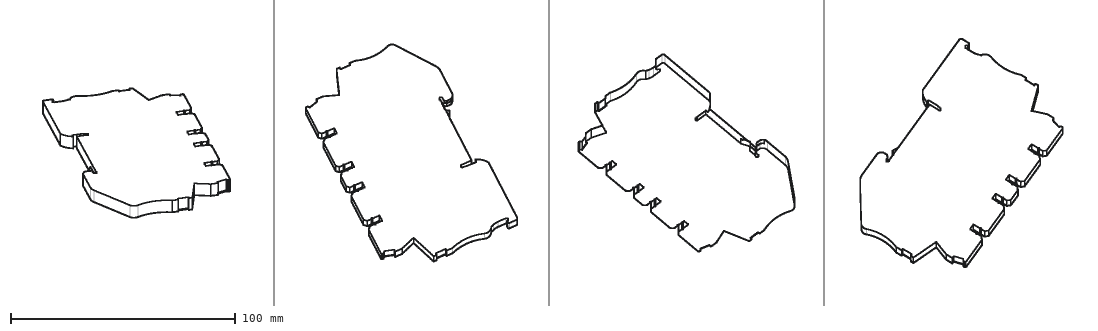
import cadquery as cq
import math


LENGTH = 100.78
HEIGHT = 62.26
THICKNESS = 6.15
BODY_WIDTH = 100.5
MID_X = BODY_WIDTH / 2

TOP_INSET = 11.2
LIP_INSET = 10.93
LIP_TOP_Y = 61.85
LIP_BOTTOM_Y = 61.05
NECK_INSET = 11.72
NECK_Y = 60.5
LEDGE_IN_INSET = 10.5
LEDGE_INSET = 9.41
LEDGE_Y = 56.2
LEDGE_BOTTOM_Y = 52.8
WAIST_INSET = 11.95
WAIST_Y = 45.9
SHOULDER_Y = 41.65
RECESS_DEPTH = 0.91
RECESS_TOP_Y = 40.1
RECESS_BOTTOM_Y = 35.3
GRIP_TOP_Y = 32.4
GRIP_MID_Y = 24.7
GRIP_BOTTOM_Y = 16.5
GRIP_DEPTH = 1.5

SLOT_OFFSETS = (5.5, 23.4)
SLOT_WIDTH = 2.75
SLOT_DEPTH = 7.3
SLOT_CHAMFER = 1.25
SLOT_GROOVE_RADIUS = 0.35
SLOT_GROOVE_Y = 58.6

RAIL_Y = 6.38
RAIL_LEFT_X = 34.6
SPRING_SLOT_TOP_Y = 11.9
SPRING_SLOT_TOP_X = 33.4
SPRING_SLOT_X = 33.05
SPRING_SLOT_BEND_Y = 9.5
SPRING_SLOT_CHAMFER = 0.3
HOOK_Y = 4.86
HOOK_TIP_X = 34.35
HOOK_MID = (32.95, 2.2)
HOOK_END_X = 30.4

FOOT_CORNER = 0.95
FOOT_TOP_ROUND = 0.55
FOOT_TOP_Y = HOOK_Y
FOOT_NOTCH_LEFT_X = 1.3
FOOT_NOTCH_RIGHT_X = 2.77
FOOT_NOTCH_BOTTOM_Y = 4.0
FOOT_WALL_TOP_Y = 8.6
FOOT_WALL_MID = (2.62, 9.9)
FOOT_WALL_END = (2.3, 11.1)
FOOT_WALL_ROUND_MID = (2.0, 11.8)
LEFT_TIP_END_Y = 12.3
LEFT_TIP_RADIUS = 3.5

RIGHT_FOOT_Y = 0.27
RIGHT_FOOT_X = 65.27
RIGHT_FOOT_START_X = 68.1
RIGHT_FOOT_LOWER_Y = 2.3
RIGHT_FOOT_LOWER_MID = (66.05, 0.95)
RIGHT_FOOT_UPPER_Y = 4.1
RIGHT_FOOT_UPPER_MID = (65.75, 4.75)
SLANT_ANGLE = math.radians(35.1)
TIP_RADIUS = 2.8
TIP_Y = 15.4
HEEL_RADIUS = 5.0

RELIEF_CENTER_X = 67.45
RELIEF_CENTER_Y = 5.87
RELIEF_RADIUS = 0.72

LATCH_HEIGHT = 3.5
LATCH_LEFT_X = 57.5
LATCH_TIP = (61.4, 4.5)
LATCH_TIP_RIGHT = (61.75, 4.6)
LATCH_BACK_MID = (62.5, 5.75)
LATCH_END_X = 63.5
LATCH_LEDGE = 0.12
LATCH_OVERLAP = 1.0

NOSE_STEP = 0.12
NOSE_STEP_END_X = 66.6

SILL_HEIGHT = 0.5
SILL_DEPTH = 0.1


def crown_side():
    """Left side from the grip upwards to the top, as straight corners."""
    return [
        (0, RECESS_BOTTOM_Y),
        (RECESS_DEPTH, RECESS_BOTTOM_Y),
        (RECESS_DEPTH, RECESS_TOP_Y),
        (0, RECESS_TOP_Y),
        (0, SHOULDER_Y),
        (WAIST_INSET, WAIST_Y),
        (LEDGE_INSET, LEDGE_BOTTOM_Y),
        (LEDGE_INSET, LEDGE_Y),
        (LEDGE_IN_INSET, LEDGE_Y),
        (NECK_INSET, NECK_Y),
        (LIP_INSET, LIP_BOTTOM_Y),
        (LIP_INSET, LIP_TOP_Y),
        (TOP_INSET, HEIGHT),
    ]


def on_circle(center, radius, angle):
    return (center[0] + radius * math.cos(angle), center[1] + radius * math.sin(angle))


def mirrored(point):
    return (BODY_WIDTH - point[0], point[1])


def body():
    left_side = crown_side()
    right_side = [mirrored(point) for point in reversed(left_side)]

    slant_normal = SLANT_ANGLE - math.pi / 2
    tip_center = (LENGTH - TIP_RADIUS, TIP_Y)
    tip_start_angle = math.asin((GRIP_BOTTOM_Y - TIP_Y) / TIP_RADIUS)
    heel_y = RIGHT_FOOT_Y + HEEL_RADIUS
    rise = (heel_y - TIP_Y) * math.cos(SLANT_ANGLE)
    heel_x = tip_center[0] + (TIP_RADIUS - HEEL_RADIUS + rise) / math.sin(SLANT_ANGLE)
    heel_center = (heel_x, heel_y)
    heel_mid_angle = (slant_normal - math.pi / 2) / 2

    left_tip_center = (LEFT_TIP_RADIUS, TIP_Y)
    left_tip_start_angle = math.pi - math.asin((GRIP_BOTTOM_Y - TIP_Y) / LEFT_TIP_RADIUS)
    left_tip_end_angle = math.pi + math.asin((TIP_Y - LEFT_TIP_END_Y) / LEFT_TIP_RADIUS)

    corner_mid = FOOT_CORNER * (1 - math.sqrt(0.5))
    top_round_mid = FOOT_TOP_ROUND * (1 - math.sqrt(0.5))
    notch_mid_x = (FOOT_NOTCH_LEFT_X + FOOT_NOTCH_RIGHT_X) / 2
    spring_chamfer_y = SPRING_SLOT_TOP_Y - SPRING_SLOT_CHAMFER

    outline = (
        cq.Workplane("XY")
        .moveTo(FOOT_CORNER, 0)
        .threePointArc((corner_mid, corner_mid), (0, FOOT_CORNER))
        .lineTo(0, FOOT_TOP_Y - FOOT_TOP_ROUND)
        .threePointArc((top_round_mid, FOOT_TOP_Y - top_round_mid), (FOOT_TOP_ROUND, FOOT_TOP_Y))
        .lineTo(FOOT_NOTCH_LEFT_X, FOOT_TOP_Y)
        .threePointArc((notch_mid_x, FOOT_NOTCH_BOTTOM_Y), (FOOT_NOTCH_RIGHT_X, FOOT_TOP_Y))
        .lineTo(FOOT_NOTCH_RIGHT_X, FOOT_WALL_TOP_Y)
        .threePointArc(FOOT_WALL_MID, FOOT_WALL_END)
        .threePointArc(
            FOOT_WALL_ROUND_MID,
            on_circle(left_tip_center, LEFT_TIP_RADIUS, left_tip_end_angle),
        )
        .threePointArc(
            (0, TIP_Y),
            on_circle(left_tip_center, LEFT_TIP_RADIUS, left_tip_start_angle),
        )
        .threePointArc((GRIP_DEPTH, GRIP_MID_Y), (0, GRIP_TOP_Y))
    )
    for point in left_side + right_side:
        outline = outline.lineTo(*point)
    outline = (
        outline
        .lineTo(BODY_WIDTH, GRIP_TOP_Y)
        .threePointArc(
            (BODY_WIDTH - GRIP_DEPTH, GRIP_MID_Y),
            on_circle(tip_center, TIP_RADIUS, tip_start_angle),
        )
        .threePointArc((LENGTH, TIP_Y), on_circle(tip_center, TIP_RADIUS, slant_normal))
        .lineTo(*on_circle(heel_center, HEEL_RADIUS, slant_normal))
        .threePointArc(
            on_circle(heel_center, HEEL_RADIUS, heel_mid_angle),
            (heel_x, RIGHT_FOOT_Y),
        )
        .lineTo(RIGHT_FOOT_START_X, RIGHT_FOOT_Y)
        .threePointArc(RIGHT_FOOT_LOWER_MID, (RIGHT_FOOT_X, RIGHT_FOOT_LOWER_Y))
        .lineTo(RIGHT_FOOT_X, RIGHT_FOOT_UPPER_Y)
        .threePointArc(RIGHT_FOOT_UPPER_MID, (RELIEF_CENTER_X, RELIEF_CENTER_Y - RELIEF_RADIUS))
        .lineTo(RELIEF_CENTER_X, RAIL_Y)
        .lineTo(RAIL_LEFT_X, RAIL_Y)
        .lineTo(RAIL_LEFT_X, spring_chamfer_y)
        .lineTo(RAIL_LEFT_X - SPRING_SLOT_CHAMFER, SPRING_SLOT_TOP_Y)
        .lineTo(SPRING_SLOT_TOP_X + SPRING_SLOT_CHAMFER, SPRING_SLOT_TOP_Y)
        .lineTo(SPRING_SLOT_TOP_X, spring_chamfer_y)
        .lineTo(SPRING_SLOT_X, SPRING_SLOT_BEND_Y)
        .lineTo(SPRING_SLOT_X, HOOK_Y)
        .lineTo(HOOK_TIP_X, HOOK_Y)
        .threePointArc(HOOK_MID, (HOOK_END_X, 0))
        .close()
    )
    return outline.extrude(THICKNESS)


def top_slot(center_x):
    """Through slot with a chamfered mouth and a small round groove in each wall."""
    half = SLOT_WIDTH / 2
    mouth = half + SLOT_CHAMFER
    shoulder_y = HEIGHT - SLOT_CHAMFER
    floor_y = HEIGHT - SLOT_DEPTH
    slot = (
        cq.Workplane("XY")
        .polyline([
            (center_x - mouth, HEIGHT),
            (center_x - half, shoulder_y),
            (center_x - half, floor_y),
            (center_x + half, floor_y),
            (center_x + half, shoulder_y),
            (center_x + mouth, HEIGHT),
        ])
        .close()
        .extrude(THICKNESS)
    )
    grooves = (
        cq.Workplane("XY")
        .pushPoints([(center_x - half, SLOT_GROOVE_Y), (center_x + half, SLOT_GROOVE_Y)])
        .circle(SLOT_GROOVE_RADIUS)
        .extrude(THICKNESS)
    )
    return slot.union(grooves)


def rail_relief():
    return (
        cq.Workplane("XY")
        .center(RELIEF_CENTER_X, RELIEF_CENTER_Y)
        .circle(RELIEF_RADIUS)
        .extrude(THICKNESS)
    )


def latch():
    """Tooth and low strip that stand below the rail edge on the lower part only."""
    strip_y = RAIL_Y - LATCH_LEDGE
    root_y = RAIL_Y + LATCH_OVERLAP
    strip_end_x = RELIEF_CENTER_X - RELIEF_RADIUS
    return (
        cq.Workplane("XY")
        .moveTo(LATCH_LEFT_X, root_y)
        .lineTo(LATCH_LEFT_X, RAIL_Y)
        .lineTo(*LATCH_TIP)
        .lineTo(*LATCH_TIP_RIGHT)
        .threePointArc(LATCH_BACK_MID, (LATCH_END_X, strip_y))
        .lineTo(strip_end_x, strip_y)
        .lineTo(strip_end_x, root_y)
        .close()
        .extrude(LATCH_HEIGHT)
    )


def nose_step(plate):
    """Thin skin over the nose of the right foot: what the shifted outline leaves uncovered."""
    block = (
        cq.Workplane("XY")
        .workplane(offset=LATCH_HEIGHT)
        .moveTo(RIGHT_FOOT_X, 0)
        .lineTo(NOSE_STEP_END_X, 0)
        .lineTo(NOSE_STEP_END_X, HOOK_Y)
        .lineTo(RIGHT_FOOT_X, HOOK_Y)
        .close()
        .extrude(THICKNESS - LATCH_HEIGHT)
    )
    return block.cut(plate.translate((NOSE_STEP, 0, 0)))


def recess_sills():
    """Low proud strips in the rectangular recess and the crown undercut, on both sides."""
    recess = [
        (RECESS_DEPTH - SILL_DEPTH, RECESS_BOTTOM_Y),
        (RECESS_DEPTH, RECESS_BOTTOM_Y),
        (RECESS_DEPTH, RECESS_TOP_Y),
        (RECESS_DEPTH - SILL_DEPTH, RECESS_TOP_Y),
    ]
    undercut = [
        (LEDGE_IN_INSET - SILL_DEPTH, LEDGE_Y),
        (LEDGE_IN_INSET, LEDGE_Y),
        (NECK_INSET, NECK_Y),
        (NECK_INSET - SILL_DEPTH, NECK_Y),
    ]
    sills = cq.Workplane("XY")
    for profile in (recess, undercut):
        for points in (profile, [mirrored(point) for point in profile]):
            sill = cq.Workplane("XY").polyline(points).close().extrude(SILL_HEIGHT)
            sills = sills.add(sill)
    return sills.combine()


plate = body()
result = plate.cut(nose_step(plate)).union(recess_sills())
for offset in SLOT_OFFSETS:
    for side in (-1, 1):
        result = result.cut(top_slot(MID_X + side * offset))
result = result.cut(rail_relief()).union(latch())